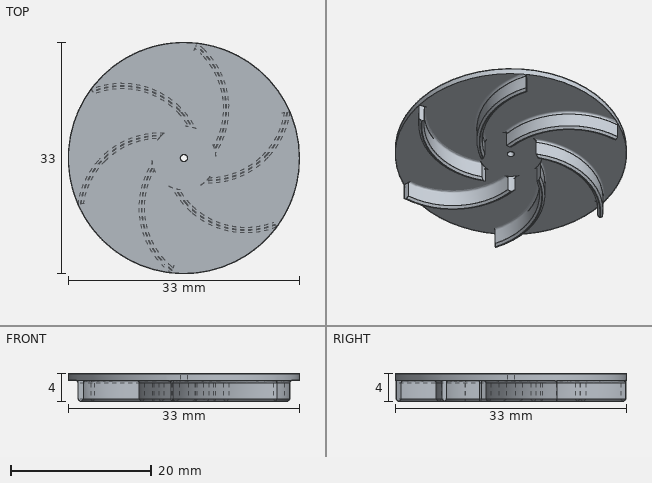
import cadquery as cq
import math

disc_diameter = 33.0
total_height = 4.0
disc_thickness = 1.0
hole_diameter = 1.0

vane_count = 6
first_tip_angle = 23.5
tip_heading_offset = 58.5
vane_outer_radius = 11.8
vane_thickness = 0.75
vane_sweep = 90.0
clearing_diameter = 9.1
tip_skew = 15.0
root_fillet = 0.33
edge_chamfer = 0.33

blank_margin = 1.65

disc_radius = disc_diameter / 2
vane_inner_radius = vane_outer_radius - vane_thickness
disc_bottom = total_height - disc_thickness


def make_blank():
    """Oversized disc that fully supports the vane roots."""
    base = cq.Workplane("XY").workplane(offset=disc_bottom)
    return base.circle(disc_radius + blank_margin).extrude(disc_thickness)


def vane_section():
    """Radial section: chamfered free edges, flared root embedded in the disc."""
    root = disc_bottom - root_fillet
    embedded = disc_bottom + disc_thickness / 2
    inner, outer = vane_inner_radius, vane_outer_radius
    arc_inset = root_fillet * (1 - math.cos(math.pi / 4))
    arc_mid_z = disc_bottom - arc_inset
    return (
        cq.Workplane("XZ")
        .moveTo(inner + edge_chamfer, 0)
        .lineTo(outer - edge_chamfer, 0)
        .lineTo(outer, edge_chamfer)
        .lineTo(outer, root)
        .threePointArc((outer + arc_inset, arc_mid_z), (outer + root_fillet, disc_bottom))
        .lineTo(outer + root_fillet, embedded)
        .lineTo(inner - root_fillet, embedded)
        .lineTo(inner - root_fillet, disc_bottom)
        .threePointArc((inner - arc_inset, arc_mid_z), (inner, root))
        .lineTo(inner, edge_chamfer)
        .close()
    )


def make_vane():
    """Sweep the section about the vane's arc centre, with its convex tip on the disc rim."""
    swept = vane_section().revolve(vane_sweep, (0, 0, 0), (0, -1, 0))

    trim_size = 2 * vane_outer_radius
    trim = cq.Workplane("XY").box(trim_size, trim_size, 2 * total_height).translate((0, trim_size / 2, 0))
    trimmed = swept.cut(trim.rotate((0, 0, 0), (0, 0, 1), tip_skew).translate((vane_outer_radius, 0, 0)))

    tip_normal = first_tip_angle + tip_heading_offset - 90
    tip_x = disc_radius * math.cos(math.radians(first_tip_angle))
    tip_y = disc_radius * math.sin(math.radians(first_tip_angle))
    centre_x = tip_x - vane_outer_radius * math.cos(math.radians(tip_normal))
    centre_y = tip_y - vane_outer_radius * math.sin(math.radians(tip_normal))
    placed = trimmed.rotate((0, 0, 0), (0, 0, 1), tip_normal).translate((centre_x, centre_y, 0))

    clearing = cq.Workplane("XY").circle(clearing_diameter / 2).extrude(total_height)
    return placed.cut(clearing)


def add_vanes(body):
    vane = make_vane()
    for index in range(vane_count):
        body = body.union(vane.rotate((0, 0, 0), (0, 0, 1), index * 360 / vane_count))
    return body


rim_envelope = cq.Workplane("XY").circle(disc_radius).extrude(total_height)
centre_hole = cq.Workplane("XY").circle(hole_diameter / 2).extrude(total_height)

result = add_vanes(make_blank()).intersect(rim_envelope).cut(centre_hole)